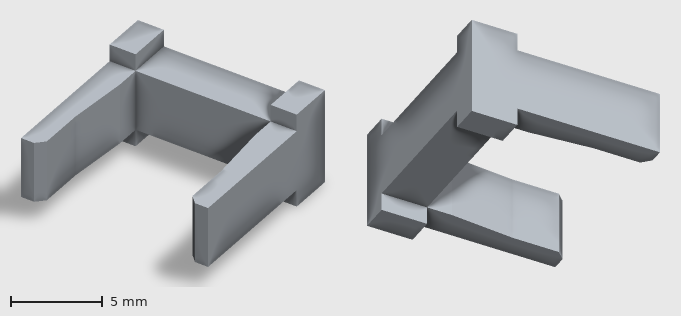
import cadquery as cq

width = 12.2
depth = 11.6
block_height = 6.1

block_width = 1.7
bridge_depth = 2.8
arm_height = 3.9

tip_thickness = 1.35
taper_start = 4.35
taper_end = 8.25
tip_chamfer = 0.5

outer_x = width / 2
root_x = outer_x - block_width
tip_x = outer_x - tip_thickness
rear_y = depth / 2
front_y = -depth / 2


def make_frame():
    """U-shaped bridge and arms, extruded symmetrically about mid-height."""
    right_half = [
        (0, rear_y),
        (outer_x, rear_y),
        (outer_x, front_y),
        (tip_x + tip_chamfer, front_y),
        (tip_x, front_y + tip_chamfer),
        (tip_x, rear_y - taper_end),
        (root_x, rear_y - taper_start),
        (root_x, rear_y - bridge_depth),
        (0, rear_y - bridge_depth),
    ]
    half = cq.Workplane("XY").polyline(right_half).close().extrude(arm_height / 2, both=True)
    return half.union(half.mirror("YZ"))


def make_end_blocks():
    """Blocks standing above and below the bridge at both of its ends."""
    block_x = outer_x - block_width / 2
    block_y = rear_y - bridge_depth / 2
    return (
        cq.Workplane("XY")
        .pushPoints([(-block_x, block_y), (block_x, block_y)])
        .rect(block_width, bridge_depth)
        .extrude(block_height / 2, both=True)
    )


result = make_frame().union(make_end_blocks()).clean()